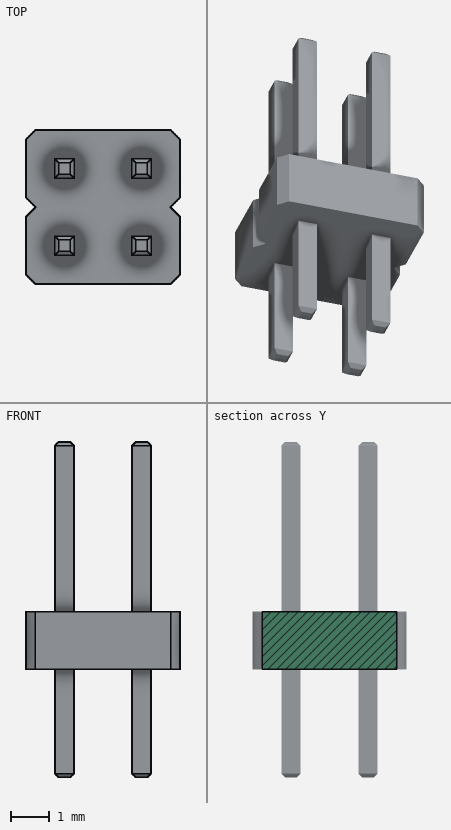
import cadquery as cq

PITCH = 2.0
PINS_PER_SIDE = 2
BODY_HEIGHT = 1.5
CORNER_CUT = 0.25
PIN_WIDTH = 0.5
PIN_ABOVE = 4.4
PIN_BELOW = 2.8
TIP_INSET = 0.1
TIP_HEIGHT = 0.1

BODY_SIZE = PITCH * PINS_PER_SIDE
PIN_LENGTH = PIN_BELOW + BODY_HEIGHT + PIN_ABOVE


def make_body():
    """Square block with cut corners and a V notch between rows on the +X and -X sides."""
    half = BODY_SIZE / 2
    block = cq.Workplane("XY").box(BODY_SIZE, BODY_SIZE, BODY_HEIGHT, centered=(True, True, False))
    block = block.edges("|Z").chamfer(CORNER_CUT)
    for side in (-1, 1):
        notch = (
            cq.Workplane("XY")
            .moveTo(side * half, -CORNER_CUT)
            .lineTo(side * (half - CORNER_CUT), 0)
            .lineTo(side * half, CORNER_CUT)
            .close()
            .extrude(BODY_HEIGHT)
        )
        block = block.cut(notch)
    return block


def make_pin():
    """Square pin tapered at both ends, passing through the body."""
    pin = cq.Workplane("XY").box(PIN_WIDTH, PIN_WIDTH, PIN_LENGTH, centered=(True, True, False))
    pin = pin.faces(">Z").chamfer(TIP_HEIGHT, TIP_INSET)
    pin = pin.faces("<Z").chamfer(TIP_HEIGHT, TIP_INSET)
    return pin.translate((0, 0, -PIN_BELOW))


def pin_positions():
    """Pin centres on a square grid about the body axis."""
    first = -PITCH * (PINS_PER_SIDE - 1) / 2
    offsets = [first + PITCH * index for index in range(PINS_PER_SIDE)]
    return [(x, y, 0) for x in offsets for y in offsets]


result = make_body()
for position in pin_positions():
    result = result.union(make_pin().translate(position))